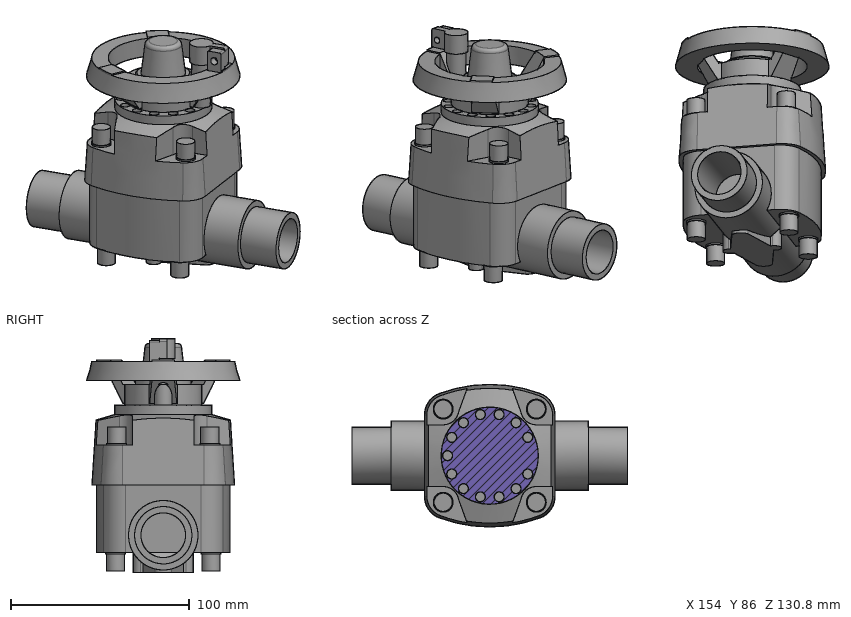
import cadquery as cq
import math


pipe_length = 154
collar_length = 110.3
pipe_dia = 32.0
collar_dia = 38.8
bore_dia = 25.0

base_bottom = -21.0
body_bottom = -9.7
bonnet_bottom = 28.0
pocket_floor = 50.4
bonnet_top = 67.5
ring_top = 72.7
spoke_bottom = 73.6
hub_top = 84.2
wheel_bottom = 86.4
cap_seat_top = 88.1
wheel_top = 97.2
pad_top = 98.0
lock_head_bottom = 98.9
cap_shoulder = 104.9
cap_top = 107.2
lug_top = 108.9
lock_top = 109.8

body_half_x = 34.2
body_half_y = 37.4
bonnet_half_x = 36.5
bonnet_half_y = 39.9
bulge_radius = 80.1
corner_radius = 12.8
bonnet_taper = 3.6
roof_slope = 0.29
ring_dia = 54.4

screw_dia = 10.2
washer_dia = 11.1
washer_height = 1.0
upper_screw_pos = 26.0
upper_screw_top = 60.5
lower_screw_x = 22.6
lower_screw_y = 26.6
lower_screw_bottom = -20
pocket_radius = 8.8
pocket_arc_angle = 10
pocket_wall_angle = 20

column_radius = 4.2
column_reach = 16.8
rib_half_width = 11.4
rib_end_half_width = 4.6
rib_end_x = 28.5
rib_tip_x = 31.4

wheel_bottom_dia = 86.0
wheel_top_dia = 80.0
wheel_bore_dia = 61.5
hub_dia = 43.1
cap_seat_dia = 31.3
cap_seat_chamfer = 1.0
cap_base_dia = 25.0
cap_shoulder_dia = 20.6
cap_top_dia = 15.7
spoke_count = 3
spoke_inner_half_width = 7.9
spoke_outer_half_width = 6.2
spoke_root = 20
spoke_rise_start = 21.7
spoke_under_end = 29.7
spoke_pad_start = 30.5

index_count = 14
index_dia = 5.4
index_radius = 23.5
index_depth = 4.6
lock_foot_dia = 10.0
lock_pin_dia = 11.0
lock_head_dia = 13.2
arm_half_width = 2.2
arm_end = 39.1
arm_round = 1.5
arm_hole_dia = 3.5
arm_hole_x = 35.4
lug_start = 30.8
lug_width = 5.5
lug_round = 1.0
lug_hole_dia = 4.2
lug_hole_x = 35.0
lock_hole_z = 103.3


def rod(dia, bottom, top, x=0, y=0):
    """Upright cylinder between two heights."""
    return cq.Workplane("XY", origin=(x, y, bottom)).circle(dia / 2).extrude(top - bottom)


def pipe_rod(dia, start, length):
    """Cylinder along the pipe axis, from X = start towards +X."""
    return cq.Workplane("YZ", origin=(start, 0, 0)).circle(dia / 2).extrude(length)


def revolved(points):
    """Solid of revolution about Z from (radius, height) points."""
    return cq.Workplane("XZ").polyline(points).close().revolve(360, (0, 0), (0, 1))


def bowed_block(half_x, half_y, bottom, top, taper=0):
    """Rounded block with flat X sides and bowed Y sides; the taper draws it in towards the top."""
    arc_x = half_x - corner_radius
    bow_center = half_y - bulge_radius
    arc_y = bow_center + math.sqrt((bulge_radius - corner_radius) ** 2 - arc_x**2)
    lean = math.asin(arc_x / (bulge_radius - corner_radius))
    bow_end = (bulge_radius * math.sin(lean), bow_center + bulge_radius * math.cos(lean))
    mid = (lean + math.pi / 2) / 2
    corner_mid = (arc_x + corner_radius * math.sin(mid), arc_y + corner_radius * math.cos(mid))
    outline = (
        cq.Workplane("XY", origin=(0, 0, bottom))
        .moveTo(half_x, -arc_y)
        .lineTo(half_x, arc_y)
        .threePointArc(corner_mid, bow_end)
        .threePointArc((0, half_y), (-bow_end[0], bow_end[1]))
        .threePointArc((-corner_mid[0], corner_mid[1]), (-half_x, arc_y))
        .lineTo(-half_x, -arc_y)
        .threePointArc((-corner_mid[0], -corner_mid[1]), (-bow_end[0], -bow_end[1]))
        .threePointArc((0, -half_y), (bow_end[0], -bow_end[1]))
        .threePointArc((corner_mid[0], -corner_mid[1]), (half_x, -arc_y))
        .close()
    )
    return outline.extrude(top - bottom, taper=taper)


def make_pipe():
    """Pipe with a thicker middle stretch, bored from both ends."""
    tube = pipe_rod(pipe_dia, -pipe_length / 2, pipe_length)
    collar = pipe_rod(collar_dia, -collar_length / 2, collar_length)
    bore = make_bore()
    return tube.union(collar).cut(bore).cut(bore.mirror("YZ"))


def make_bore():
    """Blind bore on the -X side: it stops at the body, with a 45 degree ramp below the body."""
    end_x = -pipe_length / 2
    radius = bore_dia / 2
    ramp_run = body_bottom + radius
    side = (
        cq.Workplane("XZ", origin=(0, radius, 0))
        .polyline([
            (end_x, -radius),
            (-body_half_x - ramp_run, -radius),
            (-body_half_x, body_bottom),
            (-body_half_x, radius),
            (end_x, radius),
        ])
        .close()
        .extrude(bore_dia)
    )
    return pipe_rod(bore_dia, end_x, pipe_length / 2).intersect(side)


def make_base():
    """Lengthwise rib with a round-ended cross bar, standing under the body."""
    height = body_bottom - base_bottom
    rib = (
        cq.Workplane("XY", origin=(0, 0, base_bottom))
        .moveTo(column_radius, rib_half_width)
        .lineTo(rib_end_x, rib_end_half_width)
        .threePointArc((rib_tip_x, 0), (rib_end_x, -rib_end_half_width))
        .lineTo(column_radius, -rib_half_width)
        .lineTo(-column_radius, -rib_half_width)
        .lineTo(-rib_end_x, -rib_end_half_width)
        .threePointArc((-rib_tip_x, 0), (-rib_end_x, rib_end_half_width))
        .lineTo(-column_radius, rib_half_width)
        .close()
        .extrude(height)
    )
    cross_bar = (
        cq.Workplane("XY", origin=(0, 0, base_bottom))
        .slot2D(2 * column_reach, 2 * column_radius, 90)
        .extrude(height)
    )
    return rib.union(cross_bar)


def corner_pocket():
    """Cutter for the screw pocket in the (+X, +Y) corner of the bonnet."""
    c = upper_screw_pos
    arc_angle = math.radians(pocket_arc_angle)
    wall_x = c - pocket_radius * math.cos(arc_angle)
    wall_y = c - pocket_radius * math.sin(arc_angle)
    far = 2 * c
    open_x = wall_x - (far - wall_y) * math.tan(math.radians(pocket_wall_angle))
    mid = (arc_angle + math.pi / 2) / 2
    arc_mid = (c - pocket_radius * math.cos(mid), c - pocket_radius * math.sin(mid))
    return (
        cq.Workplane("XY", origin=(0, 0, pocket_floor))
        .moveTo(far, c - pocket_radius)
        .lineTo(c, c - pocket_radius)
        .threePointArc(arc_mid, (wall_x, wall_y))
        .lineTo(open_x, far)
        .lineTo(far, far)
        .close()
        .extrude(bonnet_top - pocket_floor)
    )


def make_bonnet():
    """Tapered bonnet with a conical roof, four screw pockets and the ring of index holes."""
    block = bowed_block(bonnet_half_x, bonnet_half_y, bonnet_bottom, bonnet_top, bonnet_taper)
    ring_radius = ring_dia / 2
    roof_reach = 2 * ring_radius
    roof_low = bonnet_top - roof_slope * (roof_reach - ring_radius)
    roof = revolved([
        (0, bonnet_bottom),
        (roof_reach, bonnet_bottom),
        (roof_reach, roof_low),
        (ring_radius, bonnet_top),
        (0, bonnet_top),
    ])
    bonnet = block.intersect(roof)
    pocket = corner_pocket()
    opposite = pocket.mirror("YZ")
    for cutter in (pocket, opposite, pocket.mirror("XZ"), opposite.mirror("XZ")):
        bonnet = bonnet.cut(cutter)
    ring = rod(ring_dia, bonnet_top, ring_top)
    for i in range(1, index_count):
        angle = 2 * math.pi * i / index_count
        x = index_radius * math.cos(angle)
        y = index_radius * math.sin(angle)
        ring = ring.cut(rod(index_dia, ring_top - index_depth, ring_top, x, y))
    return bonnet.union(ring)


def make_screws():
    """Four screws on the bonnet and four below the body, each with a washer."""
    screws = cq.Workplane("XY")
    for sx in (-1, 1):
        for sy in (-1, 1):
            x = sx * upper_screw_pos
            y = sy * upper_screw_pos
            screws = screws.union(rod(screw_dia, pocket_floor, upper_screw_top, x, y))
            screws = screws.union(rod(washer_dia, pocket_floor, pocket_floor + washer_height, x, y))
            x = sx * lower_screw_x
            y = sy * lower_screw_y
            screws = screws.union(rod(screw_dia, lower_screw_bottom, body_bottom, x, y))
            screws = screws.union(rod(washer_dia, body_bottom - washer_height, body_bottom, x, y))
    return screws


def make_spoke():
    """Sloping spoke along +X that ends in a flat pad on the wheel."""
    reach = wheel_top_dia / 2
    side = (
        cq.Workplane("XZ", origin=(0, spoke_inner_half_width, 0))
        .polyline([
            (spoke_root, spoke_bottom),
            (spoke_rise_start, spoke_bottom),
            (spoke_under_end, wheel_bottom),
            (reach, wheel_bottom),
            (reach, pad_top),
            (spoke_pad_start, pad_top),
            (spoke_rise_start, hub_top),
            (spoke_root, hub_top),
        ])
        .close()
        .extrude(2 * spoke_inner_half_width)
    )
    plan = (
        cq.Workplane("XY", origin=(0, 0, spoke_bottom))
        .polyline([
            (spoke_root, spoke_inner_half_width),
            (spoke_pad_start, spoke_outer_half_width),
            (reach, spoke_outer_half_width),
            (reach, -spoke_outer_half_width),
            (spoke_pad_start, -spoke_outer_half_width),
            (spoke_root, -spoke_inner_half_width),
        ])
        .close()
        .extrude(pad_top - spoke_bottom)
    )
    return side.intersect(plan).intersect(rod(wheel_top_dia, spoke_bottom, pad_top))


def make_handwheel():
    """Wheel rim, spokes, hub and spindle cap."""
    wheel = revolved([
        (wheel_bore_dia / 2, wheel_bottom),
        (wheel_bottom_dia / 2, wheel_bottom),
        (wheel_top_dia / 2, wheel_top),
        (wheel_bore_dia / 2, wheel_top),
    ])
    spoke = make_spoke()
    for i in range(spoke_count):
        wheel = wheel.union(spoke.rotate((0, 0, 0), (0, 0, 1), 360 * i / spoke_count))
    hub = rod(hub_dia, ring_top, hub_top)
    cap_seat = rod(cap_seat_dia, hub_top, cap_seat_top).faces(">Z").chamfer(cap_seat_chamfer)
    return wheel.union(hub).union(cap_seat).union(make_cap())


def make_cap():
    """Tapered spindle cap with a rounded top edge."""
    bulge = math.sqrt(0.5)
    top_radius = cap_top_dia / 2
    shoulder_radius = cap_shoulder_dia / 2
    round_mid = (
        top_radius + bulge * (shoulder_radius - top_radius),
        cap_shoulder + bulge * (cap_top - cap_shoulder),
    )
    return (
        cq.Workplane("XZ")
        .moveTo(0, hub_top)
        .lineTo(cap_base_dia / 2, hub_top)
        .lineTo(cap_base_dia / 2, cap_seat_top)
        .lineTo(shoulder_radius, cap_shoulder)
        .threePointArc(round_mid, (top_radius, cap_top))
        .lineTo(0, cap_top)
        .close()
        .revolve(360, (0, 0), (0, 1))
    )


def cross_hole(dia, x):
    """Cutter for a padlock hole that runs along Y."""
    return (
        cq.Workplane("XZ", origin=(x, 0, lock_hole_z))
        .circle(dia / 2)
        .extrude(lug_width + arm_half_width, both=True)
    )


def make_lock():
    """Locking pin with a padlock arm, beside a lug on the wheel."""
    foot = rod(lock_foot_dia, ring_top, hub_top, index_radius)
    pin = rod(lock_pin_dia, hub_top, lock_head_bottom, index_radius)
    head = rod(lock_head_dia, lock_head_bottom, lock_top, index_radius)
    arm = (
        cq.Workplane("XY")
        .box(arm_end - index_radius, 2 * arm_half_width, lock_top - lock_head_bottom, centered=False)
        .translate((index_radius, -arm_half_width, lock_head_bottom))
        .edges(">X and >Z")
        .fillet(arm_round)
        .cut(cross_hole(arm_hole_dia, arm_hole_x))
    )
    lug = (
        cq.Workplane("XY")
        .box(arm_end - lug_start, lug_width, lug_top - wheel_top, centered=False)
        .translate((lug_start, -arm_half_width - lug_width, wheel_top))
        .edges(">Z and |Y")
        .fillet(lug_round)
        .cut(cross_hole(lug_hole_dia, lug_hole_x))
    )
    return foot.union(pin).union(head).union(arm).union(lug)


body = bowed_block(body_half_x, body_half_y, body_bottom, bonnet_bottom)
result = (
    make_pipe()
    .union(body)
    .union(make_base())
    .union(make_bonnet())
    .union(make_screws())
    .union(make_handwheel())
    .union(make_lock())
)